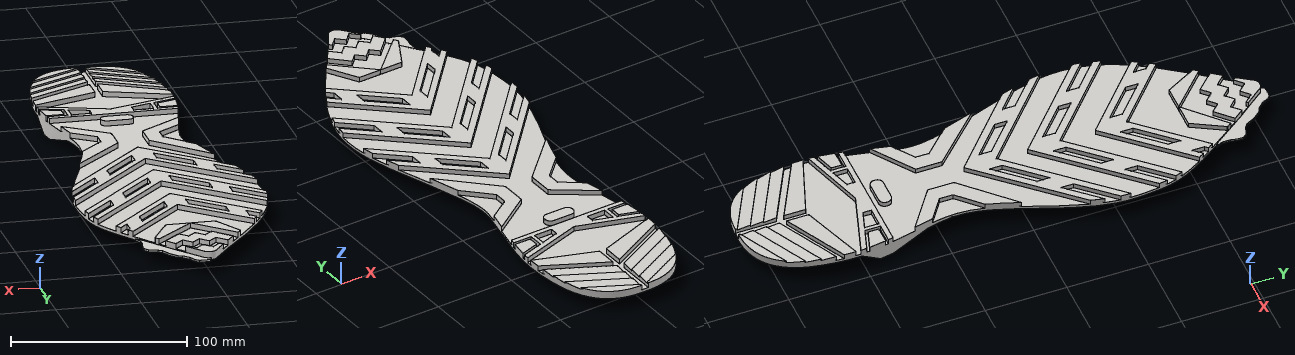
import cadquery as cq
import math

BASE_THICKNESS = 2.0
TREAD_HEIGHT = 3.07
TAB_THICKNESS = 1.3
TOTAL_HEIGHT = 12.5
TOP = BASE_THICKNESS + TREAD_HEIGHT
FIN_DEPTH = TOTAL_HEIGHT - TOP

FAR = 97
SLAB_LENGTH = 388.2

TOE_TIP = (0, 158.8)
HEEL_END = (0, -161.7)
LEFT_SIDE = [
    (-4.5, 156.0), (-15.5, 140.0), (-29, 122.0), (-40.5, 104.5), (-49.2, 87.5), (-54.0, 70.0), (-55, 55),
    (-51.8, 35.0), (-44.3, 11.3), (-36.5, -12.0), (-31.7, -29.5), (-30.0, -42), (-32.7, -59.0),
    (-36.5, -76.5), (-40.0, -100.3), (-38.8, -123.2), (-34.3, -140.7), (-23.5, -155.3), (-11.3, -160.8),
]
RIGHT_SIDE = [
    (4.5, 156.0), (15.0, 143.0), (30.5, 122.0), (42, 105.0), (51.0, 87.5), (54.5, 70.0), (55, 55),
    (51.8, 35.0), (44.0, 11.3), (35.3, -12.0), (30.7, -29.5), (30.0, -42), (32.7, -59.0),
    (36.5, -76.5), (40.0, -100.3), (38.8, -123.2), (34.3, -140.7), (23.5, -155.3), (11.3, -160.8),
]

TAB_OUTLINE = [
    (0, 142.3), (-0.3, 159.0), (0.5, 161.7), (7.0, 161.7), (9.5, 159.8), (11.3, 155.5), (15.0, 152), (17.0, 151.5),
    (21.0, 147.0), (24.0, 141.0), (26.2, 139.5), (31.5, 137.8), (33.3, 135.2), (33.3, 131.5), (32.5, 127.5),
    (32.5, 122.5), (34.3, 118.5),
]

PAD_BACK_Y = 109.0
PAD_BACK_HALF_WIDTH = 14.5
PAD_SHOULDER = (25.2, 128.5)
PAD_V_SLOPE = 0.95
ZIGZAG_CENTRE_X = 1.3
ZIGZAG_STEP = 5.0
ZIGZAG_VALLEYS_Y = [146.0, 136.2, 125.5]

ARM_SLOPES = {-1: 0.9, 1: 1.1}
CHEVRON_APEXES_Y = [(77.0, 58.0), (36.2, 16.5), (-3.0, -22.5)]
POCKET_START_X = 6.5
POCKET_HEIGHT = 7.8
BRIDGE_X = (26, 35.5)

BAND_SLOPE_FRONT = 1
BAND_SLOPE_BACK = 0.71
BAND_INNER = (9.0, -32.5, -48.5)
BAND_OUTER = (18.0, -36.5, -45.0)

STUD_LENGTH = 19.0
STUD_WIDTH = 7.8
STUD_CORNER = 3.5
STUD_Y = -73.5

BAR_FRONT_Y = -81.2
BAR_APEX_Y = -89.0
BAR_SLOPE = 0.32
BAR_RIM = 3.07
INNER_POCKET_X = (12.3, 24.0)
OUTER_POCKET_X = 26.2
POCKET_BACK_Y = -85.5
ISLAND_GAP = 1.78

HEEL_REACH = 48.5
HEEL_GROOVE_HALF_WIDTH = 2.3
HEEL_FRONT_Y = -119.5
HEEL_FRONT_SLOPE = 0.36
RIB_SLOPE = 0.53
HEEL_FIRST_BACK_Y = -133.3
RIBS_FRONT_Y = -137.8
RIBS_BACK_Y = -161.7
RIB_COUNT = 3
RIB_DROP = 1.0

FIN_INNER_X = 29.5
FIN_FRONT_Y = -41.5
FIN_KNEE = (-58.0, -1.0)
FIN_FLAT_Y = (-81, -89.3)
FIN_BACK_Y = -101.3


def sole_prism(bottom, height):
    outline = (
        cq.Workplane("XY", origin=(0, 0, bottom))
        .moveTo(*LEFT_SIDE[0])
        .spline(LEFT_SIDE[1:] + [HEEL_END] + RIGHT_SIDE[::-1], includeCurrent=True)
        .threePointArc(TOE_TIP, LEFT_SIDE[0])
        .close()
    )
    return outline.extrude(height)


def tread(points):
    return cq.Workplane("XY", origin=(0, 0, BASE_THICKNESS)).polyline(points).close().extrude(TREAD_HEIGHT)


def mirrored(points, side):
    return [(side * x, y) for x, y in points]


def arm_strip(side, x_start, x_end, front_y, back_y, slope):
    """Slanted strip on one side; its edges meet X = 0 at front_y and back_y."""
    points = [
        (x_start, front_y + slope * x_start),
        (x_end, front_y + slope * x_end),
        (x_end, back_y + slope * x_end),
        (x_start, back_y + slope * x_start),
    ]
    return tread(mirrored(points, side))


def zigzag(valley_y):
    """Three valleys and two peaks, with long arms running out past the outline."""
    points = [
        (ZIGZAG_CENTRE_X + i * ZIGZAG_STEP, valley_y + (i % 2) * ZIGZAG_STEP) for i in range(-2, 3)
    ]
    first_x, last_x = points[0][0], points[-1][0]
    left_end = (-FAR, valley_y + FAR + first_x)
    right_end = (FAR, valley_y + FAR - last_x)
    return [left_end] + points + [right_end]


def toe_pad():
    """Pad cut by two gaps: zigzag to zigzag, and zigzag to a plain V."""
    shoulder_x, shoulder_y = PAD_SHOULDER
    front_y = shoulder_y + FAR
    half_pad = [(PAD_BACK_HALF_WIDTH, PAD_BACK_Y), PAD_SHOULDER, (shoulder_x, front_y)]
    pad = tread(mirrored(half_pad, -1)[::-1] + half_pad)
    first, second, third = [zigzag(y) for y in ZIGZAG_VALLEYS_Y]
    v_end_y = PAD_BACK_Y + PAD_V_SLOPE * FAR
    v_line = [(-FAR, v_end_y), (0, PAD_BACK_Y), (FAR, v_end_y)]
    return pad.cut(tread(first + second[::-1])).cut(tread(third + v_line[::-1]))


def chevron(front_y, back_y):
    """V-shaped bar with two pockets in each arm, the outer ones open at the outline."""
    arms = None
    for side, slope in ARM_SLOPES.items():
        arm = arm_strip(side, 0, FAR, front_y, back_y, slope)
        pocket_front = (front_y + back_y + POCKET_HEIGHT) / 2
        pocket_back = pocket_front - POCKET_HEIGHT
        for x_start, x_end in [(POCKET_START_X, BRIDGE_X[0]), (BRIDGE_X[1], FAR)]:
            arm = arm.cut(arm_strip(side, x_start, x_end, pocket_front, pocket_back, slope))
        arms = arm if arms is None else arms.union(arm)
    return arms


def midfoot_edge(edge_x, front_y, back_y):
    reach = FAR - edge_x
    return [
        (FAR, front_y + BAND_SLOPE_FRONT * reach),
        (edge_x, front_y),
        (edge_x, back_y),
        (FAR, back_y - BAND_SLOPE_BACK * reach),
    ]


def midfoot_band(side):
    band = midfoot_edge(*BAND_INNER) + midfoot_edge(*BAND_OUTER)[::-1]
    return tread(mirrored(band, side))


def stud():
    plan = cq.Workplane("XY", origin=(0, STUD_Y, BASE_THICKNESS)).rect(STUD_LENGTH, STUD_WIDTH)
    return plan.extrude(TREAD_HEIGHT).edges("|Z").fillet(STUD_CORNER)


def bar_window(side, x_start, x_end, front_y, apex_y):
    """Opening with a straight front edge and a back edge parallel to the back of the bar."""
    points = [
        (x_start, front_y),
        (x_end, front_y),
        (x_end, apex_y - BAR_SLOPE * x_end),
        (x_start, apex_y - BAR_SLOPE * x_start),
    ]
    return tread(mirrored(points, side))


def heel_bar():
    end_y = BAR_APEX_Y - BAR_SLOPE * FAR
    bar = tread([(-FAR, BAR_FRONT_Y), (FAR, BAR_FRONT_Y), (FAR, end_y), (0, BAR_APEX_Y), (-FAR, end_y)])
    front_y = BAR_FRONT_Y - BAR_RIM
    for side in (-1, 1):
        island = bar_window(
            side, OUTER_POCKET_X + ISLAND_GAP, FAR, front_y - ISLAND_GAP, POCKET_BACK_Y + ISLAND_GAP
        )
        bar = bar.cut(bar_window(side, *INNER_POCKET_X, front_y, POCKET_BACK_Y))
        bar = bar.cut(bar_window(side, OUTER_POCKET_X, FAR, front_y, POCKET_BACK_Y)).union(island)
    return bar


def heel_ribs():
    """Right-hand saw-tooth ribs: each top dips towards the back, then steps up to the next rib."""
    incline = math.atan(RIB_SLOPE)
    pitch = (RIBS_FRONT_Y - RIBS_BACK_Y) / RIB_COUNT * math.cos(incline)
    profile = [(0, 0)]
    for i in range(RIB_COUNT):
        profile += [(i * pitch, TREAD_HEIGHT), ((i + 1) * pitch, TREAD_HEIGHT - RIB_DROP)]
    profile += [(RIB_COUNT * pitch, TREAD_HEIGHT), (FAR, TREAD_HEIGHT), (FAR, 0)]
    section = cq.Plane(
        origin=(0, RIBS_FRONT_Y, BASE_THICKNESS),
        xDir=(math.sin(incline), -math.cos(incline), 0),
        normal=(-math.cos(incline), -math.sin(incline), 0),
    )
    return cq.Workplane(section).polyline(profile).close().extrude(FAR, both=True)


def heel_block():
    """Front pad and ribs on both sides of the lengthwise groove."""
    front_end_y = HEEL_FRONT_Y + HEEL_FRONT_SLOPE * HEEL_REACH
    back_end_y = HEEL_FIRST_BACK_Y + RIB_SLOPE * HEEL_REACH
    front_pad = tread([
        (0, HEEL_FRONT_Y),
        (HEEL_REACH, front_end_y),
        (HEEL_REACH, back_end_y),
        (0, HEEL_FIRST_BACK_Y),
    ])
    rear_y = HEEL_END[1] - FAR
    inner_x = HEEL_GROOVE_HALF_WIDTH
    beside_groove = tread([(inner_x, 0), (FAR, 0), (FAR, rear_y), (inner_x, rear_y)])
    right_half = front_pad.union(heel_ribs()).intersect(beside_groove)
    return right_half.union(right_half.mirror("YZ"))


def fin():
    profile = [
        (FIN_FRONT_Y, 0), FIN_KNEE, (FIN_FLAT_Y[0], -FIN_DEPTH),
        (FIN_FLAT_Y[1], -FIN_DEPTH), (FIN_BACK_Y, 0),
    ]
    slab = cq.Workplane("YZ", origin=(FIN_INNER_X, 0, 0)).polyline(profile).close().extrude(FAR)
    return slab.intersect(sole_prism(-FIN_DEPTH, FIN_DEPTH))


def toe_tab():
    return cq.Workplane("XY").polyline(TAB_OUTLINE).close().extrude(TAB_THICKNESS)


def tread_gaps():
    """Everything above the base plate that is not tread."""
    slab = cq.Workplane("XY", origin=(0, 0, BASE_THICKNESS)).rect(2 * FAR, SLAB_LENGTH).extrude(TREAD_HEIGHT)
    pieces = [toe_pad(), midfoot_band(-1), midfoot_band(1), stud(), heel_bar(), heel_block()]
    pieces += [chevron(front_y, back_y) for front_y, back_y in CHEVRON_APEXES_Y]
    for piece in pieces:
        slab = slab.cut(piece)
    return slab


result = sole_prism(0, TOP).cut(tread_gaps()).union(toe_tab()).union(fin())